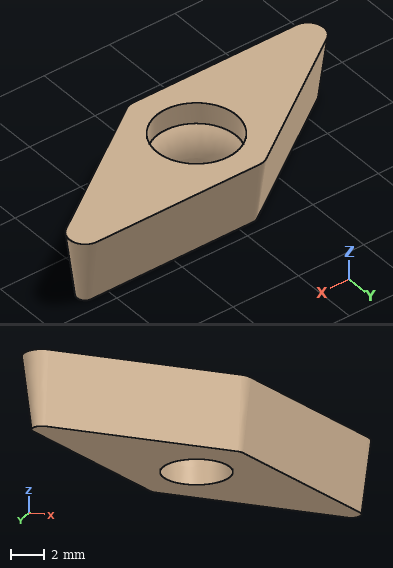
import cadquery as cq
import math

inscribed_diameter = 9.52
thickness = 4.75
point_angle = 35.0
clearance_angle = 7.0
corner_radius = 1.2

recess_diameter = 6.02
recess_depth = 1.57
bore_diameter = 4.4
seat_depth = 2.02


def make_body():
    """Rounded rhombus at the top face, narrowing towards the bottom."""
    half_height = inscribed_diameter / 2
    angle = math.radians(point_angle)
    side = inscribed_diameter / math.sin(angle)
    point_x = half_height / math.tan(angle / 2)
    blunt_x = point_x - side
    outline = [
        (point_x, half_height),
        (blunt_x, half_height),
        (-point_x, -half_height),
        (-blunt_x, -half_height),
    ]
    rhombus = cq.Sketch().polygon(outline + outline[:1]).vertices().fillet(corner_radius)
    return (
        cq.Workplane("XY", origin=(0, 0, thickness))
        .placeSketch(rhombus)
        .extrude(-thickness, taper=clearance_angle)
    )


def make_screw_hole():
    """Revolved cutter for the recess, the convex seat and the bore."""
    recess_radius = recess_diameter / 2
    bore_radius = bore_diameter / 2
    seat_top = thickness - recess_depth
    seat_bottom = seat_top - seat_depth
    seat_width = recess_radius - bore_radius
    seat_radius = (seat_width**2 + seat_depth**2) / (2 * seat_width)
    arc_centre = bore_radius + seat_radius
    half_sweep = math.asin(seat_depth / seat_radius) / 2
    seat_middle = (
        arc_centre - seat_radius * math.cos(half_sweep),
        seat_bottom + seat_radius * math.sin(half_sweep),
    )
    return (
        cq.Workplane("XZ")
        .lineTo(bore_radius, 0)
        .lineTo(bore_radius, seat_bottom)
        .threePointArc(seat_middle, (recess_radius, seat_top))
        .lineTo(recess_radius, thickness)
        .lineTo(0, thickness)
        .close()
        .revolve(360, (0, 0), (0, 1))
    )


result = make_body().cut(make_screw_hole())